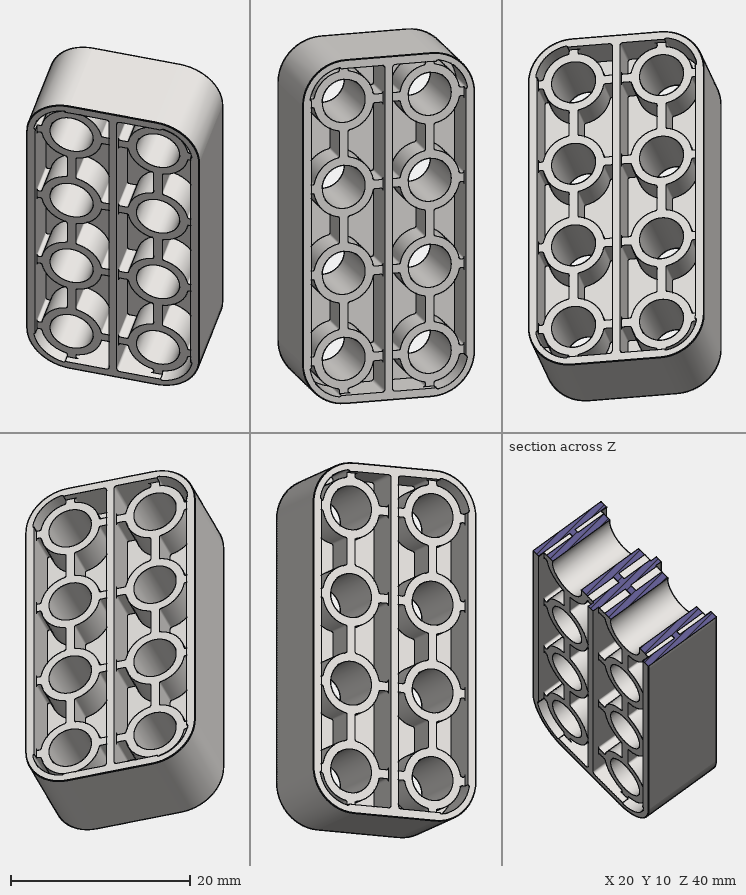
import cadquery as cq

PITCH = 10.0
COLUMNS = 2
ROWS = 4
BORE_DIAMETER = 5.0
TUBE_RADIUS = 3.5
RIB_WIDTH = 1.0
WALL = 1.0
CORNER_WALL = 0.8
SPINE = 0.9
WEB = 0.8
RECESS = 0.8
EDGE_CHAMFER = 0.1
RIB_FILLET = 0.25
SPINE_FILLET = 0.35

WIDTH = COLUMNS * PITCH
DEPTH = PITCH
HEIGHT = ROWS * PITCH
CORNER_RADIUS = PITCH / 2
POCKET_DEPTH = (DEPTH - WEB) / 2
POCKET_WIDTH = WIDTH / 2 - WALL - SPINE / 2
POCKET_HEIGHT = HEIGHT - 2 * WALL
POCKET_X = SPINE / 2 + POCKET_WIDTH / 2
COLUMN_X = PITCH / 2
TOP_ROW_Z = HEIGHT / 2 - PITCH / 2
ROW_HEIGHTS = [TOP_ROW_Z - row * PITCH for row in range(ROWS)]
HOLE_CENTRES = [(COLUMN_X, z) for z in ROW_HEIGHTS]

RIM = cq.Workplane("XZ", origin=(0, -DEPTH / 2, 0))


def outer_body():
    body = cq.Workplane("XY").box(WIDTH, DEPTH, HEIGHT)
    body = body.edges("|Y").fillet(CORNER_RADIUS)
    return body.faces("<Y or >Y").chamfer(EDGE_CHAMFER)


def pocket_block(depth):
    """Rectangular pocket of one column, rounded where it meets the spine."""
    block = RIM.center(POCKET_X, 0).rect(POCKET_WIDTH, POCKET_HEIGHT).extrude(-depth)
    return block.edges("|Y and <X").fillet(SPINE_FILLET)


def tubes_and_ribs():
    """Tubes around the holes, a rib along the column and one rib across each hole."""
    tubes = RIM.pushPoints(HOLE_CENTRES).circle(TUBE_RADIUS).extrude(-POCKET_DEPTH)
    long_rib = RIM.center(COLUMN_X, 0).rect(RIB_WIDTH, HEIGHT).extrude(-POCKET_DEPTH)
    cross_ribs = RIM.pushPoints(HOLE_CENTRES).rect(PITCH, RIB_WIDTH).extrude(-POCKET_DEPTH)
    return tubes.union(long_rib).union(cross_ribs)


def corner_square():
    """Quadrant of the top hole, from its centre lines to the outer corner of the beam."""
    return (
        RIM.center(COLUMN_X, TOP_ROW_Z)
        .rect(PITCH / 2, PITCH / 2, centered=False)
        .extrude(-POCKET_DEPTH)
    )


def corner_crescent():
    """Curved pocket between the top tube and the rounded corner of the wall."""
    outer_radius = CORNER_RADIUS - CORNER_WALL
    disc = RIM.center(COLUMN_X, TOP_ROW_Z).circle(outer_radius).extrude(-POCKET_DEPTH)
    crescent = disc.intersect(corner_square()).cut(tubes_and_ribs())
    return crescent.edges("|Y").fillet(RIB_FILLET)


def open_cells():
    """Straight-walled pockets between the tubes, ribs, outer wall and spine."""
    cells = pocket_block(POCKET_DEPTH).cut(tubes_and_ribs())
    cells = cells.cut(corner_square()).cut(corner_square().mirror("XY"))
    clearance = 1.5 * SPINE_FILLET
    half_length = POCKET_HEIGHT / 2 - clearance
    between_ends = cq.selectors.BoxSelector(
        (0, -DEPTH, -half_length),
        (WIDTH, DEPTH, half_length),
    )
    beyond_spine = cq.selectors.BoxSelector(
        (SPINE / 2 + clearance, -DEPTH, -HEIGHT),
        (WIDTH, DEPTH, HEIGHT),
    )
    return cells.edges("|Y").edges(between_ends + beyond_spine).fillet(RIB_FILLET)


def column_pocket():
    crescent = corner_crescent()
    rim_corner_radius = CORNER_RADIUS - WALL
    recess = pocket_block(RECESS).edges("|Y and >X").fillet(rim_corner_radius)
    return recess.union(open_cells()).union(crescent).union(crescent.mirror("XY"))


def bores():
    """Through holes of both columns."""
    one_column = RIM.pushPoints(HOLE_CENTRES).circle(BORE_DIAMETER / 2).extrude(-DEPTH)
    return one_column.union(one_column.mirror("YZ"))


one_pocket = column_pocket()
front_pockets = one_pocket.union(one_pocket.mirror("YZ"))
back_pockets = front_pockets.mirror("XZ")

result = outer_body().cut(front_pockets).cut(back_pockets).cut(bores())